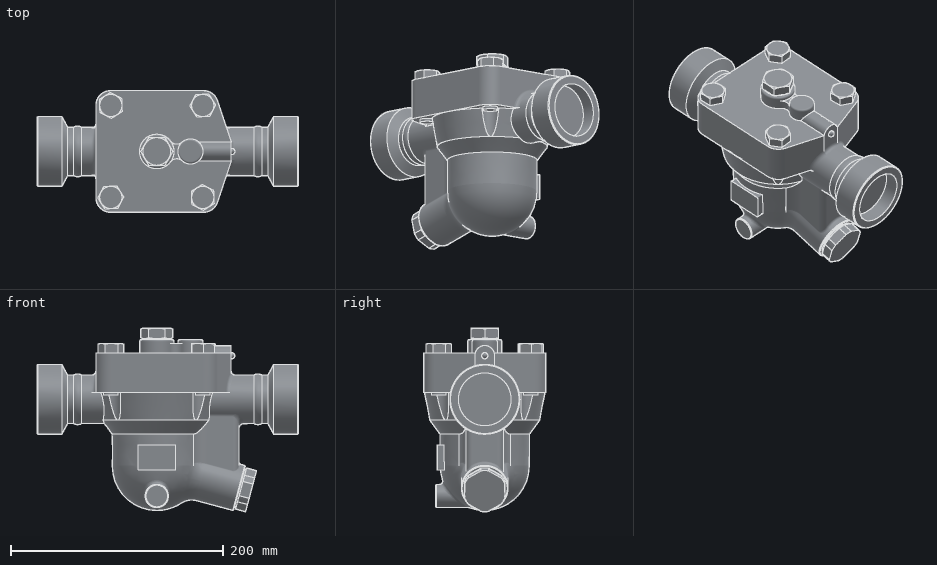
import cadquery as cq
import math


inlet_x = -112.7
total_length = 246.0
outlet_x = inlet_x + total_length
pipe_radius = 46.0 / 2
collar_radius = 66.0 / 2
collar_length = 23.4
collar_cone_length = 5.5
collar_edge_chamfer = 0.7
bead_offset = 38.1
bead_half_width = 3.7
bead_height = 1.0
socket_diameter = 49.7
socket_depth = 13.8

flange_half_width = 57.45
flange_nose_x = 70.0
flange_nose_half_width = 9.22
flange_taper_start_x = 54.0
flange_corner_radius = 14.15
flange_bottom_z = 6.6
flange_top_z = 43.8
pipe_flange_fillet = 3.7

bolt_offset = 43.3
bolt_head_flats = 21.2
bolt_face_diameter = 21.0
bolt_head_height = 8.9
bolt_head_chamfer = 0.7
bolt_twist = 2.5
bolt_shank_diameter = 14.0
bolt_end_length = 2.7
bolt_pocket_radius = 9.3

bowl_top_radius = 57.0
bowl_shoulder_radius = 52.0
bowl_shoulder_z = -19.7
bowl_waist_radius = 42.3
bowl_waist_z = -32.7
dome_radius = 42.0
dome_z = -62.7

vent_boss_radius = 16.2
vent_boss_height = 12.5
boss_edge_fillet = 2.0
vent_hex_flats = 26.3
vent_face_diameter = 26.0
vent_neck_radius = 12.3
vent_neck_height = 0.7
vent_hex_height = 10.0
vent_hex_chamfer = 1.0
side_boss_x = 31.7
side_boss_radius = 11.8
bridge_blend_radius = 7.5
bridge_height = 8.9
channel_radius = 9.0
channel_axis_z = 41.5
ball_radius = 3.0
ball_z = 41.0
ball_overhang = 0.5

branch_slope = 15.0
branch_radius = 44.0 / 2
branch_length = 80.7
branch_blend_radius = 17.2
branch_end_chamfer = 0.7
branch_neck_radius = 18.7
branch_neck_length = 1.5
branch_hex_flats = 38.0
branch_hex_circle = 40.3
branch_hex_height = 9.8

web_end_x = 77.5
web_bottom_z = -71.3
web_half_width = 17.5
web_corner_radius = 5.7
web_blend_radius = 15.7
web_pipe_fillet = 4.7
web_branch_fillet = 2.5

plate_width = 35.7
plate_bottom_z = -66.7
plate_top_z = -42.8
plate_face_y = -44.8
plate_corner_radius = 1.2
drain_diameter = 22.0
drain_z = -91.0
drain_face_y = -46.2
drain_edge_chamfer = 0.7
drain_root_fillet = 3.0


def hex_prism(flats, height):
    """Hexagonal prism standing on Z = 0 with two corners on the X axis."""
    return cq.Workplane("XY").polygon(6, flats / math.cos(math.pi / 6)).extrude(height)


def chamfered_hex(flats, height, face_diameter, chamfer_height, chamfer_bottom=False):
    """Hexagonal prism whose corners are turned down to a circle on its end faces."""
    corner_radius = flats / math.sqrt(3)
    face_radius = face_diameter / 2
    bottom = [(corner_radius, 0)]
    if chamfer_bottom:
        bottom = [(face_radius, 0), (corner_radius, chamfer_height)]
    top = [(corner_radius, height - chamfer_height), (face_radius, height)]
    blank = (
        cq.Workplane("XZ")
        .polyline([(0, 0)] + bottom + top + [(0, height)])
        .close()
        .revolve(360, (0, 0, 0), (0, 1, 0))
    )
    return hex_prism(flats, height).intersect(blank)


def make_pipe():
    """Solid pipe with a collar and a raised bead at each end."""
    def half_profile(end_x, inward):
        def point(offset, radius):
            return (end_x + inward * offset, radius)

        middle_x = (inlet_x + outlet_x) / 2
        return (
            cq.Workplane("XY")
            .moveTo(middle_x, 0)
            .lineTo(end_x, 0)
            .lineTo(*point(0, collar_radius - collar_edge_chamfer))
            .lineTo(*point(collar_edge_chamfer, collar_radius))
            .lineTo(*point(collar_length, collar_radius))
            .lineTo(*point(collar_length + collar_cone_length, pipe_radius))
            .lineTo(*point(bead_offset - bead_half_width, pipe_radius))
            .threePointArc(
                point(bead_offset, pipe_radius + bead_height),
                point(bead_offset + bead_half_width, pipe_radius),
            )
            .lineTo(middle_x, pipe_radius)
            .close()
            .revolve(360, (0, 0, 0), (1, 0, 0))
        )

    return half_profile(inlet_x, 1).union(half_profile(outlet_x, -1))


def make_flange(bottom_z, top_z):
    """Square flange whose +X side tapers to a narrow nose."""
    half = flange_half_width
    outline = [
        (-half, -half),
        (flange_taper_start_x, -half),
        (flange_nose_x, -flange_nose_half_width),
        (flange_nose_x, flange_nose_half_width),
        (flange_taper_start_x, half),
        (-half, half),
    ]
    flange = cq.Workplane("XY").workplane(offset=bottom_z).polyline(outline).close().extrude(top_z - bottom_z)
    for side in (-1, 1):
        for corner_x in (-half, flange_taper_start_x):
            corner = cq.selectors.NearestToPointSelector((corner_x, side * half, (bottom_z + top_z) / 2))
            flange = flange.edges(corner).fillet(flange_corner_radius)
    return flange


def make_bowl():
    """Stepped bowl with a rounded bottom, relieved beside each bolt."""
    arc_middle = dome_radius * math.sqrt(0.5)
    bowl = (
        cq.Workplane("XZ")
        .moveTo(0, flange_bottom_z)
        .lineTo(bowl_top_radius, flange_bottom_z)
        .lineTo(bowl_shoulder_radius, bowl_shoulder_z)
        .lineTo(bowl_waist_radius, bowl_waist_z)
        .lineTo(dome_radius, dome_z)
        .threePointArc((arc_middle, dome_z - arc_middle), (0, dome_z - dome_radius))
        .close()
        .revolve(360, (0, 0, 0), (0, 1, 0))
    )
    pockets = (
        cq.Workplane("XY")
        .workplane(offset=bowl_shoulder_z)
        .rect(2 * bolt_offset, 2 * bolt_offset, forConstruction=True)
        .vertices()
        .circle(bolt_pocket_radius)
        .extrude(flange_bottom_z - bowl_shoulder_z)
    )
    return bowl.cut(pockets)


def make_web():
    """Upright web with a rounded outer end, from inside the branch up to the pipe axis."""
    web = (
        cq.Workplane("XY", origin=(web_end_x / 2, 0, web_bottom_z))
        .rect(web_end_x, 2 * web_half_width)
        .extrude(-web_bottom_z)
    )
    return web.edges("|Z and >X").fillet(web_corner_radius)


def make_web_flare():
    """Concave flares where the web sides run tangentially into the round bowl wall."""
    blend_centre_y = web_half_width + web_blend_radius
    blend_centre_distance = bowl_waist_radius + web_blend_radius
    blend_centre_x = math.sqrt(blend_centre_distance**2 - blend_centre_y**2)
    wall_share = bowl_waist_radius / blend_centre_distance
    wall_x = blend_centre_x * wall_share
    wall_y = blend_centre_y * wall_share
    mid_angle = (math.atan2(blend_centre_y, blend_centre_x) + math.pi / 2) / 2
    mid_x = blend_centre_x - web_blend_radius * math.cos(mid_angle)
    mid_y = blend_centre_y - web_blend_radius * math.sin(mid_angle)
    return (
        cq.Workplane("XY", origin=(0, 0, web_bottom_z))
        .moveTo(0, -wall_y)
        .lineTo(wall_x, -wall_y)
        .threePointArc((mid_x, -mid_y), (blend_centre_x, -web_half_width))
        .lineTo(blend_centre_x, web_half_width)
        .threePointArc((mid_x, mid_y), (wall_x, wall_y))
        .lineTo(0, wall_y)
        .close()
        .extrude(bowl_shoulder_z - web_bottom_z)
    )


def place_on_branch(shape):
    """Turn a shape built along +Z onto the sloping branch axis."""
    return shape.rotate((0, 0, 0), (0, 1, 0), 90 + branch_slope).translate((0, 0, dome_z))


def make_branch():
    """Branch barrel that flares tangentially into the dome."""
    blend_centre_r = branch_radius + branch_blend_radius
    blend_centre_distance = dome_radius + branch_blend_radius
    blend_centre_s = math.sqrt(blend_centre_distance**2 - blend_centre_r**2)
    dome_share = dome_radius / blend_centre_distance
    start = (blend_centre_r * dome_share, blend_centre_s * dome_share)
    mid_angle = (math.atan2(-blend_centre_s, -blend_centre_r) - math.pi) / 2
    middle = (
        blend_centre_r + branch_blend_radius * math.cos(mid_angle),
        blend_centre_s + branch_blend_radius * math.sin(mid_angle),
    )
    barrel = (
        cq.Workplane("XZ")
        .lineTo(*start)
        .threePointArc(middle, (branch_radius, blend_centre_s))
        .lineTo(branch_radius, branch_length - branch_end_chamfer)
        .lineTo(branch_radius - branch_end_chamfer, branch_length)
        .lineTo(0, branch_length)
        .close()
        .revolve(360, (0, 0, 0), (0, 1, 0))
    )
    return place_on_branch(barrel)


def make_branch_plug():
    """Hexagon plug with rounded corners on a short neck at the branch end."""
    hexagon = hex_prism(branch_hex_flats, branch_hex_height)
    hexagon = hexagon.intersect(cq.Workplane("XY").circle(branch_hex_circle / 2).extrude(branch_hex_height))
    neck = cq.Workplane("XY").circle(branch_neck_radius).extrude(branch_neck_length)
    plug = neck.union(hexagon.translate((0, 0, branch_neck_length)))
    return place_on_branch(plug.translate((0, 0, branch_length)))


def make_drain():
    """Round stub on the lower front of the dome."""
    return (
        cq.Workplane("XZ", origin=(0, 0, drain_z))
        .circle(drain_diameter / 2)
        .extrude(-drain_face_y)
        .faces("<Y")
        .edges()
        .chamfer(drain_edge_chamfer)
    )


def make_name_plate():
    """Flat raised plate on the front of the bowl."""
    height = plate_top_z - plate_bottom_z
    return (
        cq.Workplane("XZ", origin=(0, 0, plate_bottom_z + height / 2))
        .rect(plate_width, height)
        .extrude(-plate_face_y)
        .edges("|Y")
        .fillet(plate_corner_radius)
    )


def make_bolt(x, y, twist):
    """Bolt head on the cover and the shank end showing below the flange."""
    head = chamfered_hex(bolt_head_flats, bolt_head_height, bolt_face_diameter, bolt_head_chamfer)
    head = head.rotate((0, 0, 0), (0, 0, 1), twist).translate((x, y, flange_top_z))
    shank_end = (
        cq.Workplane("XY", origin=(x, y, flange_bottom_z - bolt_end_length))
        .circle(bolt_shank_diameter / 2)
        .extrude(bolt_end_length)
    )
    return head, shank_end


def make_vent():
    """Central cover boss carrying a hexagon plug."""
    boss = cq.Workplane("XY").circle(vent_boss_radius).extrude(vent_boss_height)
    boss = boss.faces(">Z").edges().fillet(boss_edge_fillet)
    neck = cq.Workplane("XY").circle(vent_neck_radius).extrude(vent_boss_height + vent_neck_height)
    plug = chamfered_hex(vent_hex_flats, vent_hex_height, vent_face_diameter, vent_hex_chamfer, True)
    plug = plug.translate((0, 0, vent_boss_height + vent_neck_height))
    return boss.union(neck).union(plug).translate((0, 0, flange_top_z))


def make_bridge():
    """Waisted bridge whose concave sides run tangentially into the vent boss and the side boss."""
    to_vent = vent_boss_radius + bridge_blend_radius
    to_side = side_boss_radius + bridge_blend_radius
    centre_x = (side_boss_x**2 + to_vent**2 - to_side**2) / (2 * side_boss_x)
    centre_y = math.sqrt(to_vent**2 - centre_x**2)
    vent_x = centre_x * vent_boss_radius / to_vent
    vent_y = centre_y * vent_boss_radius / to_vent
    side_x = side_boss_x + (centre_x - side_boss_x) * side_boss_radius / to_side
    side_y = centre_y * side_boss_radius / to_side
    waist_y = centre_y - bridge_blend_radius
    return (
        cq.Workplane("XY", origin=(0, 0, flange_top_z))
        .moveTo(vent_x, -vent_y)
        .threePointArc((centre_x, -waist_y), (side_x, -side_y))
        .lineTo(side_x, side_y)
        .threePointArc((centre_x, waist_y), (vent_x, vent_y))
        .close()
        .extrude(bridge_height)
    )


def make_cover_channel():
    """Side boss, its bridge to the vent and the round channel running to the nose."""
    boss = cq.Workplane("XY").circle(side_boss_radius).extrude(vent_boss_height)
    boss = boss.faces(">Z").edges().fillet(boss_edge_fillet)
    boss = boss.translate((side_boss_x, 0, flange_top_z))
    channel = (
        cq.Workplane("YZ", origin=(side_boss_x, 0, channel_axis_z))
        .circle(channel_radius)
        .extrude(flange_nose_x - side_boss_x)
    )
    return boss.union(make_bridge()).union(channel)


def near_edges(shape, low, high, radius):
    """Round the edges whose centres lie in the box between two corners."""
    return shape.edges(cq.selectors.BoxSelector(low, high)).fillet(radius)


half_pipe = pipe_radius + 2.5
flange_joint_z = flange_bottom_z + 0.2
result = make_flange(flange_bottom_z, flange_top_z).union(make_pipe())
result = near_edges(
    result,
    (bowl_top_radius, -half_pipe, flange_joint_z),
    (flange_nose_x + 2.5, half_pipe, half_pipe),
    pipe_flange_fillet,
)
result = near_edges(
    result,
    (-flange_half_width - 0.2, -half_pipe, flange_joint_z),
    (-flange_half_width + 0.2, half_pipe, half_pipe),
    pipe_flange_fillet,
)

result = result.union(make_vent()).union(make_cover_channel())
ball = cq.Workplane("XY").sphere(ball_radius).translate((flange_nose_x + ball_overhang, 0, ball_z))
result = result.union(ball)

for side_x in (-1, 1):
    for side_y in (-1, 1):
        quarter_turn = 0 if side_x == side_y else 90
        head, shank_end = make_bolt(side_x * bolt_offset, side_y * bolt_offset, quarter_turn + bolt_twist)
        result = result.union(head).union(shank_end)

web_y = web_half_width + 1.2
web_x = web_end_x + 1.2
pipe_web = make_pipe().union(make_web())
pipe_web = near_edges(pipe_web, (2.5, -web_y, -pipe_radius), (web_x, web_y, -2.5), web_pipe_fillet)

flare_y = web_half_width + 5
bowl = make_bowl().union(make_branch()).union(make_web()).union(make_web_flare())
bowl = near_edges(bowl, (37, -flare_y, -69), (web_x, flare_y, -56.5), web_branch_fillet)
bowl = bowl.union(make_drain())
bowl = near_edges(bowl, (-2.5, plate_face_y + 2.5, drain_z - 2.5), (2.5, -12.3, drain_z + 2.5), drain_root_fillet)
bowl = bowl.union(make_name_plate()).union(make_branch_plug())

result = result.union(pipe_web).union(bowl)

for end_x, inward in ((inlet_x, 1), (outlet_x, -1)):
    socket = cq.Workplane("YZ", origin=(end_x, 0, 0)).circle(socket_diameter / 2)
    result = result.cut(socket.extrude(inward * socket_depth))